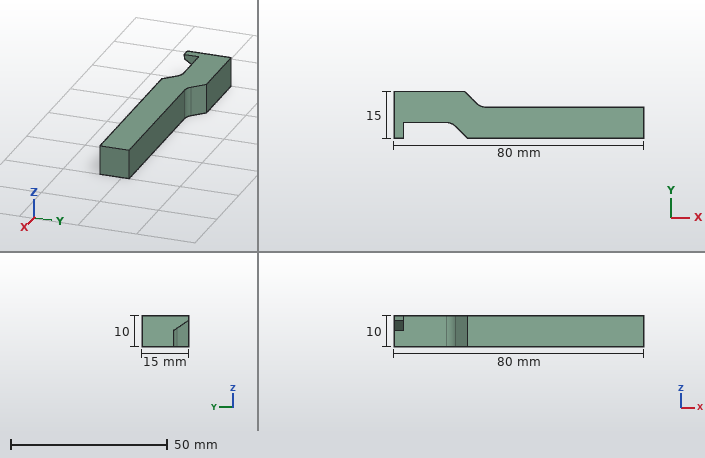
import cadquery as cq
import math

length = 80.0
height = 10.0
shank_width = 10.0
head_offset = shank_width / 2
total_width = shank_width + head_offset
front_bend_end = 23.4
back_bend_start = 22.6
bend_radius = 4.0

tooth_width = 3.0
tip_height = 1.5
tip_relief_angle = 7.0
tooth_root_depth = 4.8
tip_setback = tip_height * math.tan(math.radians(tip_relief_angle))


def cranked_bar():
    """Square bar with an offset head and rounded inner bends."""
    front_bend_start = front_bend_end - head_offset
    back_bend_end = back_bend_start + head_offset
    bar = (
        cq.Workplane("XY")
        .polyline([
            (0, head_offset),
            (front_bend_start, head_offset),
            (front_bend_end, 0),
            (length, 0),
            (length, shank_width),
            (back_bend_end, shank_width),
            (back_bend_start, total_width),
            (0, total_width),
        ])
        .close()
        .extrude(height)
    )
    for x, y in ((front_bend_start, head_offset), (back_bend_end, shank_width)):
        inner_bend = cq.selectors.NearestToPointSelector((x, y, height / 2))
        bar = bar.edges("|Z").edges(inner_bend).fillet(bend_radius)
    return bar


def tooth():
    """Overhanging tooth with a relieved tip and a sloping underside."""
    return (
        cq.Workplane("YZ")
        .polyline([
            (0, height),
            (tip_setback, height - tip_height),
            (head_offset, height - tooth_root_depth),
            (total_width / 2, height - tooth_root_depth),
            (total_width / 2, height),
        ])
        .close()
        .extrude(tooth_width)
    )


result = cranked_bar().union(tooth())